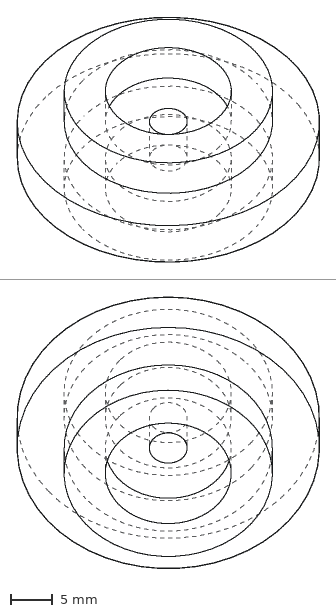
import cadquery as cq

flange_diameter = 36.0
flange_thickness = 6.0
hub_diameter = 24.8
hub_height = 5.0
recess_diameter = 15.0
recess_depth = hub_height
bore_diameter = 4.5

total_height = flange_thickness + 2 * hub_height


def centered_disc(diameter, height):
    """Disc on the Z axis, centred on the mid-plane of the flange."""
    return cq.Workplane("XY").cylinder(height, diameter / 2)


def cut_recess(body, face):
    """Round recess in the outer end of one hub."""
    return body.faces(face).workplane().circle(recess_diameter / 2).cutBlind(-recess_depth)


flange = centered_disc(flange_diameter, flange_thickness)
hubs = centered_disc(hub_diameter, total_height)
body = flange.union(hubs)

for end_face in (">Z", "<Z"):
    body = cut_recess(body, end_face)

result = body.cut(centered_disc(bore_diameter, total_height))